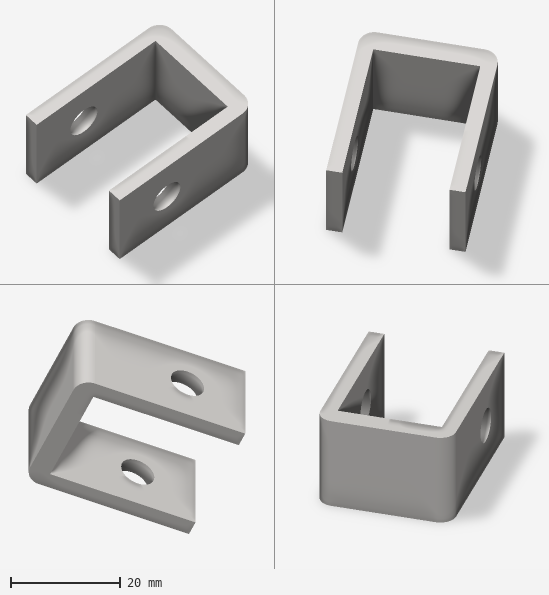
import cadquery as cq

width = 26.0
length = 33.0
height = 18.0

leg_thickness = 3.0
web_thickness = 4.0
corner_radius = 3.0

hole_diameter = 6.6
hole_from_leg_end = 11.52

slot_width = width - 2 * leg_thickness
slot_depth = length - web_thickness

body = (
    cq.Workplane("XY")
    .box(width, length, height, centered=(True, False, True))
    .edges("|Z and >Y")
    .fillet(corner_radius)
)

slot = cq.Workplane("XY").box(slot_width, slot_depth, height, centered=(True, False, True))

cross_hole = (
    cq.Workplane("YZ")
    .center(hole_from_leg_end, 0)
    .circle(hole_diameter / 2)
    .extrude(width / 2, both=True)
)

result = body.cut(slot).cut(cross_hole)